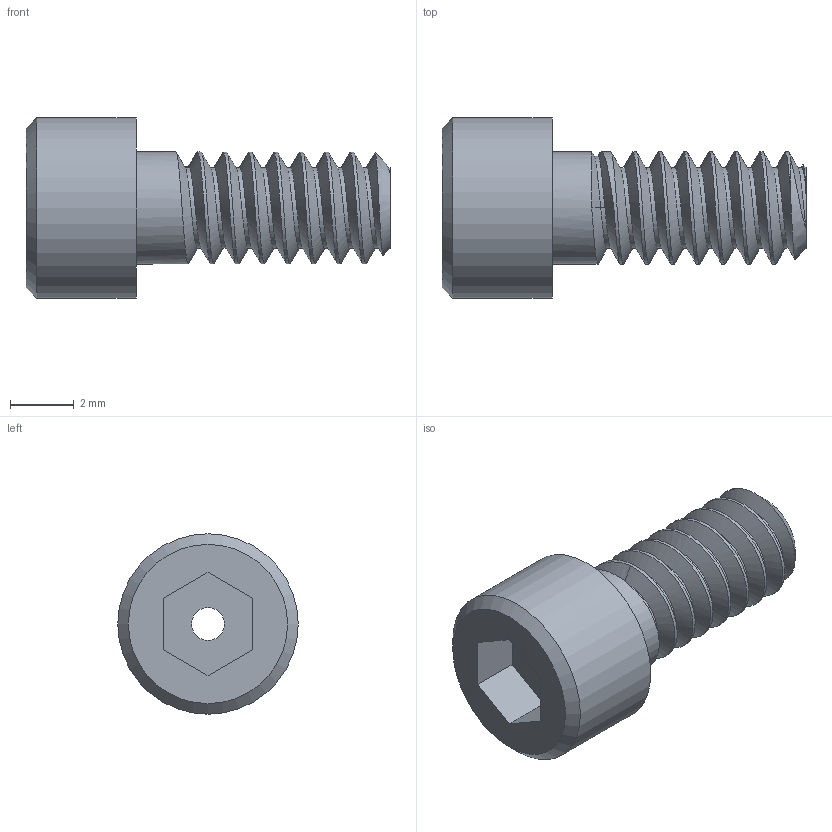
import cadquery as cq
import math

INCH = 25.4
CYLINDER = 360

head_diameter = 5.64
head_height = 3.4425
head_chamfer = 0.33
socket_across_flats = 0.110 * INCH
socket_depth = 0.060 * INCH

shank_length = 5 / 16 * INCH
shank_radius = 0.138 * INCH / 2
vent_diameter = 1.03
total_length = head_height + shank_length

pitch = INCH / 32
flank_angle = math.radians(30)
flank_slope = math.tan(flank_angle)
thread_depth = pitch * math.cos(flank_angle) * 17 / 24
root_radius = shank_radius - thread_depth
crest_flat = pitch / 8
groove_half_width = (pitch - crest_flat) / 2
root_half_width = groove_half_width - thread_depth * flank_slope
cutter_overshoot = 0.05
tip_chamfer = thread_depth

thread_start = 4.68
groove_start = thread_start + groove_half_width
groove_length = total_length - groove_start + pitch / 2

runout_cone_angle = 90 - math.degrees(flank_angle)
runout_length = (thread_depth + cutter_overshoot) * flank_slope


def make_body():
    """Revolve the head, shank and tip chamfer about the X axis."""
    head_radius = head_diameter / 2
    return (
        cq.Workplane("XY")
        .lineTo(0, head_radius - head_chamfer)
        .lineTo(head_chamfer, head_radius)
        .lineTo(head_height, head_radius)
        .lineTo(head_height, shank_radius)
        .lineTo(total_length - tip_chamfer, shank_radius)
        .lineTo(total_length, shank_radius - tip_chamfer)
        .lineTo(total_length, 0)
        .close()
        .revolve(360, (0, 0, 0), (1, 0, 0))
    )


def make_socket():
    """Hexagonal socket with corners at +Z and -Z."""
    across_corners = socket_across_flats / math.cos(math.pi / 6)
    return (
        cq.Workplane("YZ")
        .transformed(rotate=(0, 0, 90))
        .polygon(6, across_corners)
        .extrude(socket_depth)
    )


def make_vent():
    """Through hole along the axis."""
    return cq.Workplane("YZ").circle(vent_diameter / 2).extrude(total_length)


def groove_profile():
    """Corners of the groove section as (radius, axial offset), opening outward."""
    outer_radius = shank_radius + cutter_overshoot
    outer_half_width = groove_half_width + cutter_overshoot * flank_slope
    return [
        (root_radius, -root_half_width),
        (root_radius, root_half_width),
        (outer_radius, outer_half_width),
        (outer_radius, -outer_half_width),
    ]


def make_helical_cutter(length, cone_angle):
    """Solid swept by the groove section along a helix about Z, starting on the +X side."""
    stretch = 1 / math.cos(math.radians(cone_angle))
    helices = []
    for radius, offset in groove_profile():
        helix = cq.Wire.makeHelix(
            pitch * stretch, length * stretch, radius, cq.Vector(0, 0, offset), angle=cone_angle
        )
        helices.append(helix.Edges()[0])

    sides = []
    for index, helix in enumerate(helices):
        sides.append(cq.Face.makeRuledSurface(helices[index - 1], helix))

    ends = []
    for position in (0, 1):
        corners = [helix.positionAt(position) for helix in helices]
        ends.append(cq.Face.makeFromWires(cq.Wire.makePolygon(corners, close=True)))

    return cq.Solid.makeSolid(cq.Shell.makeShell(sides + ends))


def place_on_shank(cutter):
    """Turn a cutter from the Z axis to the X axis, its start from +X to +Z, and move it into place."""
    origin = cq.Vector(0, 0, 0)
    along_x = cutter.rotate(origin, cq.Vector(0, 1, 0), 90)
    start_up = along_x.rotate(origin, cq.Vector(1, 0, 0), 180)
    return start_up.translate(cq.Vector(groove_start, 0, 0))


def make_groove():
    """Full-depth groove, running out past the tip."""
    return place_on_shank(make_helical_cutter(groove_length, CYLINDER))


def make_runout():
    """Groove that rises out of the shank as it winds back from the groove start toward the head."""
    forward = make_helical_cutter(runout_length, runout_cone_angle)
    backward = forward.rotate(cq.Vector(0, 0, 0), cq.Vector(1, 0, 0), 180)
    return place_on_shank(backward)


result = (
    make_body()
    .cut(make_socket())
    .cut(make_vent())
    .cut(cq.Workplane(make_groove()))
    .cut(cq.Workplane(make_runout()))
)